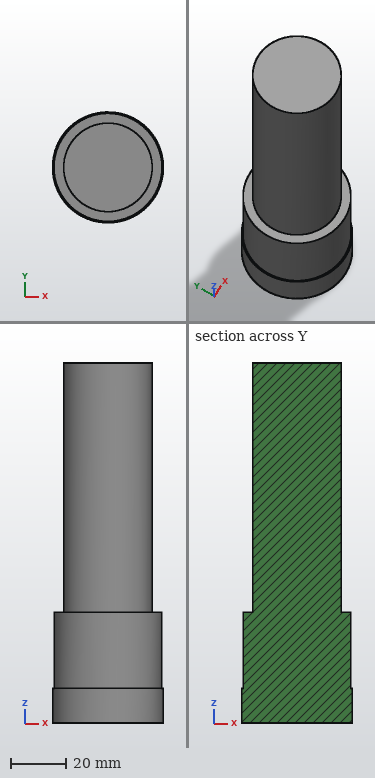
import cadquery as cq

total_height = 130.0
head_height = 12.5
collar_top = 40.0

head_diameter = 40.0
collar_diameter = 39.0
shank_diameter = 32.0


def cylinder(diameter, bottom, top):
    """Cylinder on the Z axis between two heights."""
    return cq.Workplane("XY").workplane(offset=bottom).circle(diameter / 2).extrude(top - bottom)


head = cylinder(head_diameter, 0, head_height)
collar = cylinder(collar_diameter, head_height, collar_top)
shank = cylinder(shank_diameter, collar_top, total_height)

result = head.union(collar).union(shank)